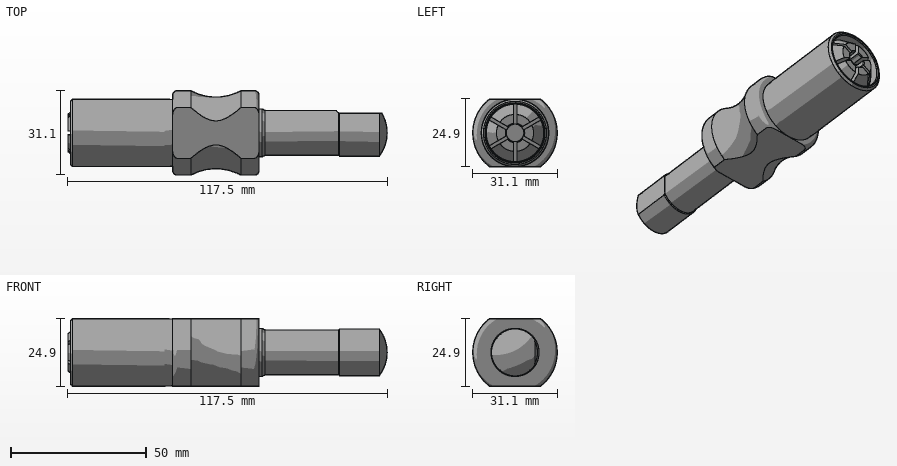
import cadquery as cq
import math

total_length = 117.5
sleeve_start = 0.9
taper_start = 35.6
grip_start = 38.5
grip_end = 70.4
collar_end = 71.5
collar_chamfer_end = 72.6
tip_start = 99.7
tip_shoulder_end = 100.0
dome_start = 114.6

sleeve_diameter = 24.9
taper_end_diameter = 24.7
grip_diameter = 31.1
collar_diameter = 17.7
shaft_diameter = 16.6
tip_diameter = 17.3

sleeve_chamfer = 0.8
mouth_chamfer = 0.4
sleeve_bore_diameter = 21.5
nose_diameter = 21.2
nose_face_diameter = 13.6
nose_bore_diameter = 6.5
nose_bore_chamfer = 0.4
nose_bore_depth = 7.0
nose_gap_end = 5.9
nose_cone_angle = 40.0
slot_count = 6
slot_width = 1.3
slot_depth = 5.3
first_slot_angle = 30.0

grip_fillet = 1.8
waist_diameter = 26.5
waist_start = 45.2
waist_end = 63.7

tip_flat_y = 7.3
shaft_bevel = shaft_diameter / 2 - tip_flat_y


def revolve_about_x(profile):
    """Turn a closed XY half-profile about the X axis."""
    return profile.close().revolve(360, (0, 0, 0), (1, 0, 0))


def make_sleeve():
    radius = sleeve_diameter / 2
    sleeve = revolve_about_x(
        cq.Workplane("XY")
        .moveTo(sleeve_start, 0)
        .lineTo(sleeve_start, radius - sleeve_chamfer)
        .lineTo(sleeve_start + sleeve_chamfer, radius)
        .lineTo(taper_start, radius)
        .lineTo(grip_start, taper_end_diameter / 2)
        .lineTo(grip_start, 0)
    )
    bore_radius = sleeve_bore_diameter / 2
    mouth = revolve_about_x(
        cq.Workplane("XY")
        .moveTo(sleeve_start, 0)
        .lineTo(sleeve_start, bore_radius + mouth_chamfer)
        .lineTo(sleeve_start + mouth_chamfer, bore_radius)
        .lineTo(nose_gap_end, bore_radius)
        .lineTo(nose_gap_end, 0)
    )
    return sleeve.cut(mouth)


def make_nose():
    cone_height = (nose_diameter - nose_face_diameter) / 2
    cone_length = cone_height / math.tan(math.radians(nose_cone_angle))
    return revolve_about_x(
        cq.Workplane("XY")
        .lineTo(0, nose_face_diameter / 2)
        .lineTo(cone_length, nose_diameter / 2)
        .lineTo(nose_gap_end, nose_diameter / 2)
        .lineTo(nose_gap_end, 0)
    )


def make_nose_cuts():
    bore_radius = nose_bore_diameter / 2
    cuts = revolve_about_x(
        cq.Workplane("XY")
        .lineTo(0, bore_radius + nose_bore_chamfer)
        .lineTo(nose_bore_chamfer, bore_radius)
        .lineTo(nose_bore_depth, bore_radius)
        .lineTo(nose_bore_depth, 0)
    )
    slot_length = nose_diameter / 2
    for index in range(slot_count):
        slot = cq.Workplane("XY").box(slot_depth, slot_length, slot_width, centered=(False, False, True))
        angle = first_slot_angle + index * 360 / slot_count
        cuts = cuts.union(slot.rotate((0, 0, 0), (1, 0, 0), angle))
    return cuts


def make_grip():
    radius = grip_diameter / 2
    length = grip_end - grip_start
    blank = (
        cq.Workplane("YZ", origin=(grip_start, 0, 0))
        .circle(radius)
        .extrude(length)
        .edges()
        .fillet(grip_fillet)
    )
    waist_center = (waist_start + waist_end) / 2
    waist_groove = revolve_about_x(
        cq.Workplane("XY")
        .moveTo(waist_start, radius)
        .threePointArc((waist_center, waist_diameter / 2), (waist_end, radius))
    )
    flats = cq.Workplane("XY", origin=(grip_start, 0, 0)).box(
        length, grip_diameter, sleeve_diameter, centered=(False, True, True)
    )
    return blank.cut(waist_groove).intersect(flats)


def make_shaft():
    tip_radius = tip_diameter / 2
    shaft_radius = shaft_diameter / 2
    dome_height = total_length - dome_start
    dome_radius = (tip_radius**2 + dome_height**2) / (2 * dome_height)
    dome_mid_y = tip_radius / 2
    dome_mid_x = total_length - dome_radius + math.sqrt(dome_radius**2 - dome_mid_y**2)
    shaft = revolve_about_x(
        cq.Workplane("XY")
        .moveTo(grip_end, 0)
        .lineTo(grip_end, collar_diameter / 2)
        .lineTo(collar_end, collar_diameter / 2)
        .lineTo(collar_chamfer_end, shaft_radius)
        .lineTo(tip_start, shaft_radius)
        .lineTo(tip_shoulder_end, tip_radius)
        .lineTo(dome_start, tip_radius)
        .threePointArc((dome_mid_x, dome_mid_y), (total_length, 0))
    )
    flat_cut = (
        cq.Workplane("XY")
        .moveTo(tip_start - shaft_bevel, shaft_radius)
        .lineTo(tip_start, tip_flat_y)
        .lineTo(total_length, tip_flat_y)
        .lineTo(total_length, tip_diameter)
        .lineTo(tip_start - shaft_bevel, tip_diameter)
        .close()
        .extrude(tip_diameter, both=True)
    )
    return shaft.cut(flat_cut)


result = make_sleeve().union(make_nose()).cut(make_nose_cuts()).union(make_grip()).union(make_shaft())